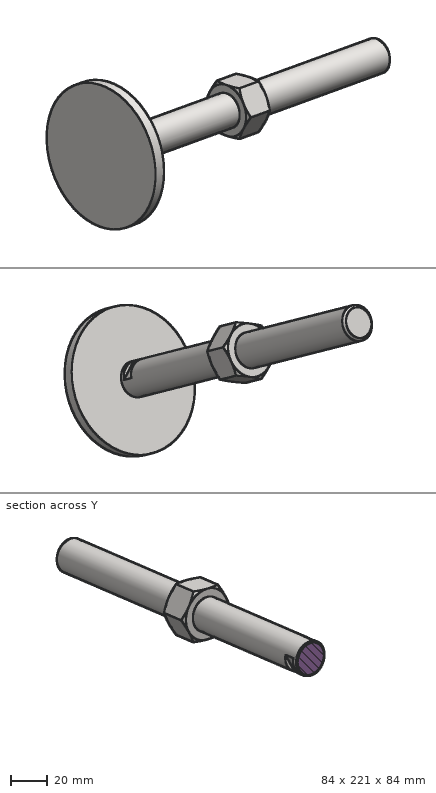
import cadquery as cq
import math

TOTAL_LENGTH = 221.0

PLATE_DIAMETER = 84.0
PLATE_THICKNESS = 6.9

SPINDLE_RADIUS = 20.3 / 2
NECK_RADIUS = 7.3
SHANK_START = 8.2
BOTTOM_CHAMFER_HEIGHT = 1.0
BOTTOM_CHAMFER_WIDTH = 1.8
TOP_CHAMFER = 1.5

WRENCH_FLAT_START = 12.0
WRENCH_FLAT_LENGTH = 6.9
WRENCH_ACROSS_FLATS = 15.5
WRENCH_FLAT_ANGLE = 30.0

NUT_START = 100.0
NUT_HEIGHT = 18.0
NUT_ACROSS_FLATS = 30.0
NUT_CHAMFER_ANGLE = 30.0


def revolve_about_y(profile):
    """Revolve a closed (radius, Y) outline around the Y axis."""
    return cq.Workplane("XY").polyline(profile).close().revolve(360, (0, 0, 0), (0, 1, 0))


def plane_at(y):
    """Workplane at height y along the axis, extruding towards +Y."""
    return cq.Workplane(cq.Plane(origin=(0, y, 0), xDir=(1, 0, 0), normal=(0, 1, 0)))


def make_plate():
    return plane_at(0).circle(PLATE_DIAMETER / 2).extrude(PLATE_THICKNESS)


def make_wrench_flats():
    """The two opposite blocks of material removed to leave the wrench flats."""
    depth = SPINDLE_RADIUS - WRENCH_ACROSS_FLATS / 2
    block = cq.Workplane("XY").box(
        depth, WRENCH_FLAT_LENGTH, 2 * SPINDLE_RADIUS, centered=(False, False, True)
    ).translate((WRENCH_ACROSS_FLATS / 2, WRENCH_FLAT_START, 0))
    cutters = cq.Workplane("XY")
    for side in (0, 180):
        cutters = cutters.add(block.rotate((0, 0, 0), (0, 1, 0), -(WRENCH_FLAT_ANGLE + side)))
    return cutters.combine()


def make_spindle():
    """Chamfered rod with a short neck that stands on the plate."""
    spindle = revolve_about_y([
        (0, PLATE_THICKNESS),
        (NECK_RADIUS, PLATE_THICKNESS),
        (NECK_RADIUS, SHANK_START),
        (SPINDLE_RADIUS - BOTTOM_CHAMFER_WIDTH, SHANK_START),
        (SPINDLE_RADIUS, SHANK_START + BOTTOM_CHAMFER_HEIGHT),
        (SPINDLE_RADIUS, TOTAL_LENGTH - TOP_CHAMFER),
        (SPINDLE_RADIUS - TOP_CHAMFER, TOTAL_LENGTH),
        (0, TOTAL_LENGTH),
    ])
    return spindle.cut(make_wrench_flats())


def make_nut():
    """Hexagon nut with corners on the X axis, chamfered at both ends and bored for the spindle."""
    corner_radius = NUT_ACROSS_FLATS / 2 / math.cos(math.radians(30))
    face_radius = NUT_ACROSS_FLATS / 2
    chamfer_height = (corner_radius - face_radius) * math.tan(math.radians(NUT_CHAMFER_ANGLE))
    nut_end = NUT_START + NUT_HEIGHT

    hexagon = plane_at(NUT_START).polygon(6, 2 * corner_radius).extrude(NUT_HEIGHT)
    chamfered_envelope = revolve_about_y([
        (SPINDLE_RADIUS, NUT_START),
        (face_radius, NUT_START),
        (corner_radius, NUT_START + chamfer_height),
        (corner_radius, nut_end - chamfer_height),
        (face_radius, nut_end),
        (SPINDLE_RADIUS, nut_end),
    ])
    return hexagon.intersect(chamfered_envelope)


plate = make_plate()
spindle = make_spindle()
nut = make_nut()

result = cq.Compound.makeCompound([plate.val(), spindle.val(), nut.val()])